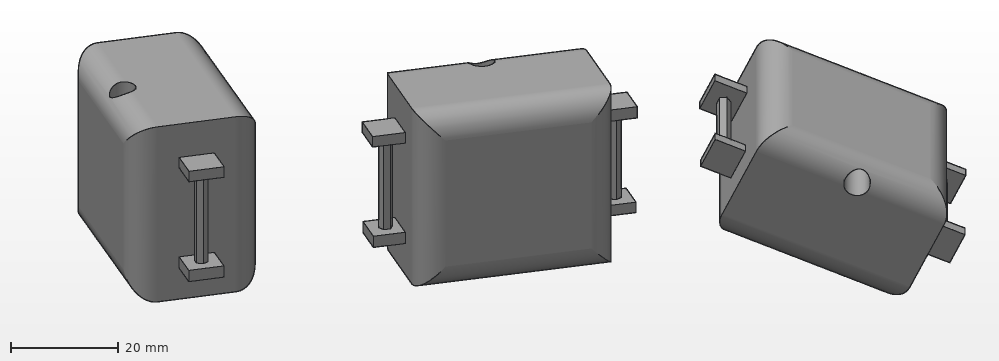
import cadquery as cq

body_width = 38.55
body_depth = 25.4
body_height = 36.05
edge_radius = 5.1

hole_diameter = 4.95
hole_x = 0.8
hole_y = -8.85

bar_diameter = 2.7
left_bar_x = -22.25
left_bar_y = 0.3
right_bar_x = 22.1
right_bar_y = 0.0

left_upper_lug = {"end_x": -25.8, "y": (-3.4, 3.4), "z": (8.25, 10.55)}
left_lower_lug = {"end_x": -25.45, "y": (-2.8, 3.75), "z": (-11.0, -8.85)}
right_upper_lug = {"end_x": 25.6, "y": (-3.45, 3.4), "z": (9.0, 11.15)}
right_lower_lug = {"end_x": 25.45, "y": (-3.45, 3.4), "z": (-11.6, -9.3)}


def make_body():
    """Cross two rounded bars so their rounded edges meet in mitred corners."""
    upright = cq.Workplane("XY").box(body_width, body_depth, body_height).edges("|Z").fillet(edge_radius)
    lengthwise = cq.Workplane("XY").box(body_width, body_depth, body_height).edges("|X").fillet(edge_radius)
    return upright.intersect(lengthwise)


def make_lug(end_x, y, z):
    """Flat lug running from the body's side face out to end_x."""
    side_x = body_width / 2 if end_x > 0 else -body_width / 2
    return (
        cq.Workplane("XY", origin=((side_x + end_x) / 2, sum(y) / 2, z[0]))
        .rect(abs(end_x - side_x), y[1] - y[0])
        .extrude(z[1] - z[0])
    )


def make_handle(upper_lug, lower_lug, bar_x, bar_y, bar_turn):
    """Two lugs joined by a hexagonal bar turned bar_turn degrees about Z."""
    bar_bottom = lower_lug["z"][1]
    bar_top = upper_lug["z"][0]
    bar = (
        cq.Workplane("XY", origin=(bar_x, bar_y, bar_bottom))
        .transformed(rotate=(0, 0, bar_turn))
        .polygon(6, bar_diameter)
        .extrude(bar_top - bar_bottom)
    )
    return make_lug(**upper_lug).union(bar).union(make_lug(**lower_lug))


hole = (
    cq.Workplane("XY", origin=(hole_x, hole_y, -body_height / 2))
    .circle(hole_diameter / 2)
    .extrude(body_height)
)
left_handle = make_handle(left_upper_lug, left_lower_lug, left_bar_x, left_bar_y, 90)
right_handle = make_handle(right_upper_lug, right_lower_lug, right_bar_x, right_bar_y, 0)

result = make_body().cut(hole).union(left_handle).union(right_handle)